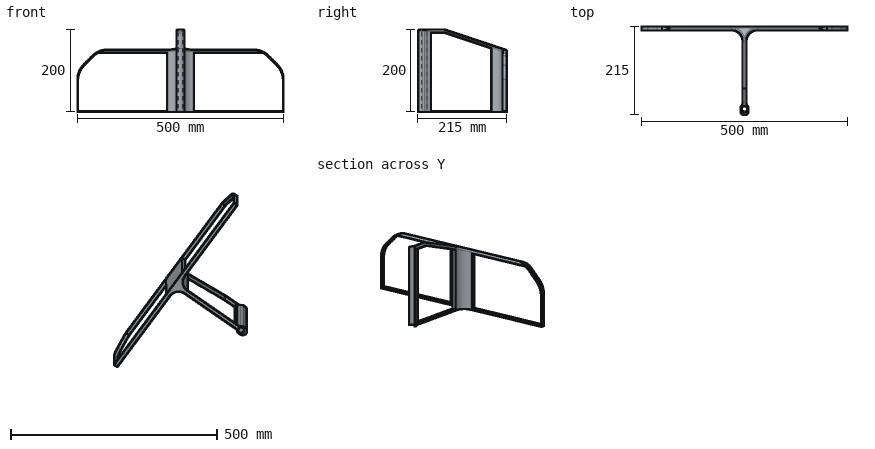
import cadquery as cq
import math

half_span = 250.0
sheet = 10.0
half_sheet = sheet / 2
peak_height = 200.0

back_height = 150.0
slope_run = 150.0
slope_angle = math.atan2(peak_height - back_height, slope_run)

root_radius = 25.0
root_x = half_sheet + root_radius
root_y = -sheet - root_radius
post_radius = 10.0
post_back_y = -200.0
post_front_y = -205.0
post_tip_y = post_front_y - post_radius
bore_diameter = 14.0

neck_radius = 10.0
neck_x = half_sheet + neck_radius
neck_reach = math.sqrt((post_radius + neck_radius) ** 2 - neck_x**2)
neck_y = post_back_y + neck_reach
neck_angle = math.degrees(math.atan2(neck_reach, neck_x))

rounding_gap = 0.005
edge_round = half_sheet - rounding_gap
round_axis_height = (
    back_height
    + (sheet - edge_round) * math.tan(slope_angle)
    - edge_round / math.cos(slope_angle)
)
crest_height = round_axis_height + edge_round

corner_cut = 52.0
corner_radius = 50.0
corner_tangent = corner_radius * math.tan(math.radians(45 / 2))
low_centre = (half_span - corner_radius, crest_height - corner_cut - corner_tangent)
high_centre = (half_span - corner_cut - corner_tangent, crest_height - corner_radius)

side_frame = 2.0
frame = 3.0
rail_depth = edge_round + frame

margin = 5.0
tolerance = 0.005


def point_on_circle(centre, radius, degrees):
    turn = math.radians(degrees)
    return (centre[0] + radius * math.cos(turn), centre[1] + radius * math.sin(turn))


def add_arc(sketch, centre, radius, start, end):
    """Continue a sketch along an arc between two angles in degrees."""
    middle = point_on_circle(centre, radius, (start + end) / 2)
    return sketch.threePointArc(middle, point_on_circle(centre, radius, end))


def both_sides(half):
    return half.union(half.mirror("YZ"))


def footprint():
    """Plate, fin and post as one upright prism."""
    half = (
        cq.Workplane("XY")
        .lineTo(half_span, 0)
        .lineTo(half_span, -sheet)
        .lineTo(root_x, -sheet)
    )
    half = add_arc(half, (root_x, root_y), root_radius, 90, 180)
    half = half.lineTo(half_sheet, neck_y)
    half = add_arc(half, (neck_x, neck_y), neck_radius, 180, 180 + neck_angle)
    half = add_arc(half, (0, post_back_y), post_radius, neck_angle, 0)
    half = half.lineTo(post_radius, post_front_y)
    half = add_arc(half, (0, post_front_y), post_radius, 0, -90)
    return both_sides(half.close().extrude(peak_height)).clean()


def top_line_height(y, drop):
    """Height of the sloping top, moved square to itself by drop."""
    return back_height - y * math.tan(slope_angle) - drop / math.cos(slope_angle)


def knee_y(drop):
    """Place where the sloping top meets the level top, both lowered by drop."""
    return -(peak_height - drop - top_line_height(0, drop)) / math.tan(slope_angle)


def side_prism(start_y, end_y, bottom, drop):
    """Prism across X under the sloping and level top, lowered by drop."""
    outline = [
        (start_y, bottom),
        (start_y, top_line_height(start_y, drop)),
        (knee_y(drop), peak_height - drop),
        (end_y, peak_height - drop),
        (end_y, bottom),
    ]
    return cq.Workplane("YZ").polyline(outline).close().extrude(half_span, both=True)


def round_upper_edges(body):
    """Round the top all along, except across the plate ends and the knee."""
    edges = []
    for face in body.faces("%PLANE").vals():
        if face.normalAt().z < 0.5:
            continue
        for edge in face.Edges():
            middle = edge.Center()
            at_plate_end = abs(middle.x) > half_span - tolerance
            on_middle = edge.geomType() == "LINE" and abs(middle.x) < tolerance
            across_knee = on_middle and middle.y < -sheet
            if not (at_plate_end or across_knee):
                edges.append(edge)
    return body.newObject(edges).fillet(edge_round)


def plate_corners():
    """Material outside the rounded outer corners of the plate."""
    outer_x = half_span + margin
    half = (
        cq.Workplane("XZ")
        .moveTo(outer_x, low_centre[1])
        .lineTo(half_span, low_centre[1])
    )
    half = add_arc(half, low_centre, corner_radius, 0, 45)
    half = half.lineTo(*point_on_circle(high_centre, corner_radius, 45))
    half = add_arc(half, high_centre, corner_radius, 45, 90)
    half = half.lineTo(high_centre[0], peak_height).lineTo(outer_x, peak_height)
    return both_sides(half.close().extrude(sheet + margin))


def plate_windows():
    """One window on each side of the fin, following the plate's outer edge."""
    inner_x = root_x + frame
    top = crest_height - rail_depth
    radius = corner_radius - side_frame
    top_angle = math.degrees(math.asin((top - high_centre[1]) / radius))
    half = (
        cq.Workplane("XZ")
        .moveTo(inner_x, frame)
        .lineTo(half_span - side_frame, frame)
        .lineTo(half_span - side_frame, low_centre[1])
    )
    half = add_arc(half, low_centre, radius, 0, 45)
    half = half.lineTo(*point_on_circle(high_centre, radius, 45))
    half = add_arc(half, high_centre, radius, 45, top_angle)
    half = half.lineTo(inner_x, top)
    return both_sides(half.close().extrude(sheet + margin))


def fin_window():
    return side_prism(root_y - frame, neck_y + frame, frame, rail_depth)


def post_bore():
    return (
        cq.Workplane("XY")
        .center(0, post_back_y)
        .circle(bore_diameter / 2)
        .extrude(peak_height)
    )


blank = footprint().intersect(side_prism(0, post_tip_y, 0, 0))
result = (
    round_upper_edges(blank)
    .cut(plate_corners())
    .cut(plate_windows())
    .cut(fin_window())
    .cut(post_bore())
)